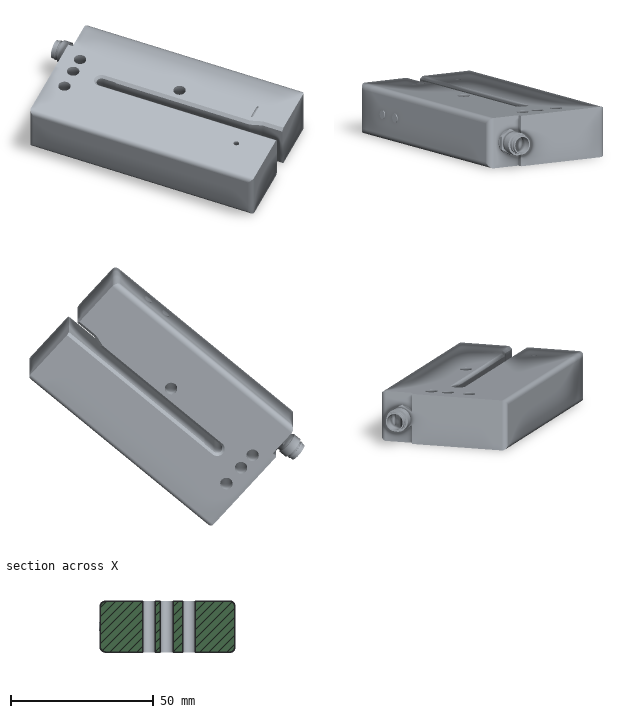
import cadquery as cq
import math

LENGTH = 92.35
HEIGHT = 18.0
MID_Z = HEIGHT / 2
BUTTON_RISE = 0.3
TOTAL_DEPTH = 47.7
HOUSING_BACK = TOTAL_DEPTH - BUTTON_RISE

HOUSING_LEFT = 6.9
STEP_DEPTH = 1.8
MOUNT_FACE = HOUSING_LEFT + STEP_DEPTH
FRONT_FILLET = 1.7
BACK_FILLET = 2.0

SLOT_Y = 23.8
SLOT_WIDTH = 3.2
SLOT_START = 22.9
SLOT_CHAMFER = 1.0
CHAMFER_ANGLE = 45
RAMP_START = 80.4
RAMP_END = 84.7
RAMP_RISE = 1.4
RAMP_ANGLE = math.atan2(RAMP_RISE, RAMP_END - RAMP_START)
RAMP_BLEND = 2.2
POCKET_END = 29.1
POCKET_MARGIN = 0.14

HOLE_DIAMETER = 4.3
HOLE_X = 13.6
HOLE_ROW_Y = 30.2
HOLE_CENTRES = [(HOLE_X, 16.2), (HOLE_X, 24.0), (HOLE_X, HOLE_ROW_Y), (51.6, HOLE_ROW_Y)]

MARK_X = 80.1
MARK_DEPTH = 0.5
SLIT_WIDTH = 0.65
SLIT_LENGTH = 5.45
SLIT_Y = 31.0
EYE_DIAMETER = 1.9
EYE_Y = 14.4
EYE_DEPTH = 1.85

BUTTON_DIAMETER = 3.1
BUTTON_XS = [69.4, 77.4]

NUT_FLATS = 8.0
NUT_START = HOUSING_LEFT
NUT_END = 8.1
WASHER_DIAMETER = 8.6
CONNECTOR_Y = 39.2
STEP_Y = CONNECTOR_Y - NUT_FLATS / 2
TUBE_DIAMETER = 6.65
RIDGE_DIAMETER = 7.1
COLLAR_DIAMETER = 8.0
RIDGE_START = 1.2
RIDGE_END = 1.8
COLLAR_START = 2.6
COLLAR_END = 5.45
BORE_DIAMETER = 5.8
BORE_DEPTH = 6.5
KEY_OFFSET = 1.7
KEY_HEIGHT = 1.85
WEDGE_OFFSET = 1.5
WEDGE_HEIGHT = 2.6
WEDGE_DROP = 0.4


def x_cylinder(diameter, start, end):
    """Cylinder on the connector axis between two X positions."""
    return cq.Workplane("YZ", origin=(start, CONNECTOR_Y, MID_Z)).circle(diameter / 2).extrude(end - start)


def housing_block():
    """Stepped block with rounded front and back edges."""
    block = (
        cq.Workplane("XY")
        .moveTo(HOUSING_LEFT, 0)
        .lineTo(LENGTH, 0)
        .lineTo(LENGTH, HOUSING_BACK)
        .lineTo(MOUNT_FACE, HOUSING_BACK)
        .lineTo(MOUNT_FACE, STEP_Y)
        .lineTo(HOUSING_LEFT, STEP_Y)
        .close()
        .extrude(HEIGHT)
    )
    block = block.faces("<Y").edges().fillet(FRONT_FILLET)
    block = block.faces(">Y").edges("|Z").fillet(BACK_FILLET)
    rounded_back = (
        cq.Workplane("XY")
        .box(LENGTH, HOUSING_BACK, HEIGHT, centered=False)
        .faces(">Y").edges("|X").fillet(BACK_FILLET)
    )
    return block.intersect(rounded_back)


def slot_half_width(margin):
    return SLOT_WIDTH / 2 + margin


def slot_inner_end(margin, end):
    """Open outline from X = end along the -Y wall and round the inner end of the slot."""
    half = slot_half_width(margin)
    arc_x = SLOT_START + SLOT_WIDTH / 2
    return (
        cq.Workplane("XY")
        .moveTo(end, SLOT_Y - half)
        .lineTo(arc_x, SLOT_Y - half)
        .threePointArc((arc_x - half, SLOT_Y), (arc_x, SLOT_Y + half))
    )


def slot_cutter(margin, height, taper=0):
    """Flared slot, grown by margin, that runs out past the open end of the fork."""
    run_out = LENGTH + 2 * SLOT_CHAMFER
    wall_y = SLOT_Y + slot_half_width(margin)
    ramp_x = RAMP_START - margin * math.tan(RAMP_ANGLE / 2)
    blend_radius = RAMP_BLEND + margin
    blend_x = RAMP_END + RAMP_BLEND * math.tan(RAMP_ANGLE / 2)
    blend_y = wall_y + RAMP_RISE - blend_radius

    def blend_point(angle):
        return blend_x - blend_radius * math.sin(angle), blend_y + blend_radius * math.cos(angle)

    return (
        slot_inner_end(margin, run_out)
        .lineTo(ramp_x, wall_y)
        .lineTo(*blend_point(RAMP_ANGLE))
        .threePointArc(blend_point(RAMP_ANGLE / 2), blend_point(0))
        .lineTo(run_out, wall_y + RAMP_RISE)
        .close()
        .extrude(height, taper=taper)
    )


def slot():
    """Through slot with a wider inner end and chamfered top and bottom rims."""
    pocket_outline = slot_inner_end(POCKET_MARGIN, POCKET_END)
    pocket_corner = (POCKET_END, SLOT_Y + slot_half_width(POCKET_MARGIN))
    pocket = pocket_outline.lineTo(*pocket_corner).close().extrude(HEIGHT)
    bottom_rim = slot_cutter(SLOT_CHAMFER, SLOT_CHAMFER, taper=CHAMFER_ANGLE)
    top_rim = bottom_rim.mirror("XY", (0, 0, MID_Z))
    return slot_cutter(0, HEIGHT).union(pocket).union(bottom_rim).union(top_rim)


def mounting_holes():
    return cq.Workplane("XY").pushPoints(HOLE_CENTRES).circle(HOLE_DIAMETER / 2).extrude(HEIGHT)


def sensing_marks():
    """Shallow slit on one fork arm and a blind round eye on the other."""
    top = cq.Workplane("XY", origin=(MARK_X, 0, HEIGHT))
    slit = top.center(0, SLIT_Y).rect(SLIT_WIDTH, SLIT_LENGTH).extrude(-MARK_DEPTH)
    eye = top.center(0, EYE_Y).circle(EYE_DIAMETER / 2).extrude(-EYE_DEPTH)
    return slit.union(eye)


def make_housing():
    washer_seat = x_cylinder(WASHER_DIAMETER, NUT_END, MOUNT_FACE)
    return housing_block().cut(slot()).cut(mounting_holes()).cut(sensing_marks()).cut(washer_seat)


def bore_key():
    """Segment left standing on the +Y side of the bore floor."""
    width = BORE_DIAMETER / 2 - KEY_OFFSET
    return (
        cq.Workplane("XY")
        .box(KEY_HEIGHT, width, BORE_DIAMETER, centered=(False, False, True))
        .translate((BORE_DEPTH - KEY_HEIGHT, CONNECTOR_Y + KEY_OFFSET, MID_Z))
    )


def bore_wedge():
    """Wedge on the -Y half of the bore floor: steep from the axis, then gently falling."""
    crest_x = BORE_DEPTH - WEDGE_HEIGHT
    wall_y = CONNECTOR_Y - BORE_DIAMETER / 2
    return (
        cq.Workplane("XY", origin=(0, 0, MID_Z))
        .moveTo(BORE_DEPTH, CONNECTOR_Y)
        .lineTo(crest_x, CONNECTOR_Y - WEDGE_OFFSET)
        .lineTo(crest_x + WEDGE_DROP, wall_y)
        .lineTo(BORE_DEPTH, wall_y)
        .close()
        .extrude(BORE_DIAMETER / 2, both=True)
    )


def make_connector():
    """Tubular plug with a latch ridge, a collar and a keyed bore."""
    tube = x_cylinder(TUBE_DIAMETER, 0, COLLAR_START)
    ridge = x_cylinder(RIDGE_DIAMETER, RIDGE_START, RIDGE_END)
    collar = x_cylinder(COLLAR_DIAMETER, COLLAR_START, COLLAR_END)
    neck = x_cylinder(RIDGE_DIAMETER, COLLAR_END, MOUNT_FACE)
    bore = x_cylinder(BORE_DIAMETER, 0, BORE_DEPTH).cut(bore_key()).cut(bore_wedge())
    return tube.union(ridge).union(collar).union(neck).cut(bore)


def make_nut():
    """Hexagon nut with two flats facing +Y and -Y."""
    corners = NUT_FLATS / math.cos(math.pi / 6)
    hexagon = (
        cq.Workplane("YZ")
        .polygon(6, corners)
        .extrude(NUT_END - NUT_START)
        .rotate((0, 0, 0), (1, 0, 0), 90)
        .translate((NUT_START, CONNECTOR_Y, MID_Z))
    )
    return hexagon.cut(x_cylinder(RIDGE_DIAMETER, NUT_START, NUT_END))


def make_washer():
    disc = x_cylinder(WASHER_DIAMETER, NUT_END, MOUNT_FACE)
    return disc.cut(x_cylinder(RIDGE_DIAMETER, NUT_END, MOUNT_FACE))


def make_button(x):
    """Round button standing on the back face."""
    back = cq.Workplane("XZ", origin=(x, HOUSING_BACK, MID_Z))
    return back.circle(BUTTON_DIAMETER / 2).extrude(-BUTTON_RISE)


housing = make_housing()
connector = make_connector()
nut = make_nut()
washer = make_washer()
buttons = [make_button(x) for x in BUTTON_XS]

result = cq.Compound.makeCompound(
    [housing.val(), connector.val(), nut.val(), washer.val()] + [button.val() for button in buttons]
)